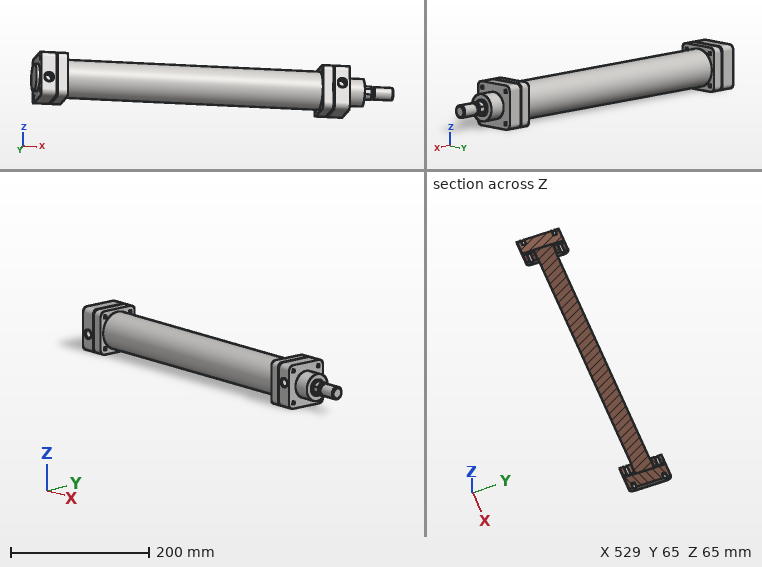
import cadquery as cq

total_length = 529.0
rear_boss_length = 5.0
cap_length = 22.0
cap_gap = 2.0
flange_length = 15.0
front_cap_end = 459.5
front_boss_length = 25.0

section_width = 65.0
corner_radius = 8.0
boss_diameter = 40.0
bolt_spacing = 47.5
bolt_hole_diameter = 5.0
bolt_hole_depth = 8.0

port_diameter = 11.5
port_chamfer = 1.0
port_depth = 12.5
port_offset = 6.0

barrel_diameter = 55.5

lip_diameter = 24.5
lip_height = 2.0
lip_chamfer = 1.5

rod_diameter = 19.5
flat_width = 18.0
flat_start = 486.5
relief_start = 496.5
relief_diameter = 12.5
thread_start = 500.0
thread_diameter = 18.5
thread_chamfer = 1.5

rear_cap_start = rear_boss_length
rear_cap_end = rear_cap_start + cap_length
rear_flange_start = rear_cap_end + cap_gap
front_cap_start = front_cap_end - cap_length
front_flange_start = front_cap_start - cap_gap - flange_length
front_boss_end = front_cap_end + front_boss_length
lip_end = front_boss_end + lip_height


def cylinder(start, end, diameter):
    """Cylinder on the X axis between two positions."""
    return cq.Workplane("YZ", origin=(start, 0, 0)).circle(diameter / 2).extrude(end - start)


def square_block(start, length):
    """Square block with rounded lengthwise edges."""
    profile = cq.Workplane("YZ", origin=(start, 0, 0)).rect(section_width, section_width)
    return profile.extrude(length).edges("|X").fillet(corner_radius)


def bolt_holes(start, length):
    """Four corner hole cutters running along X."""
    plane = cq.Workplane("YZ", origin=(start, 0, 0))
    corners = plane.rect(bolt_spacing, bolt_spacing, forConstruction=True).vertices()
    return corners.circle(bolt_hole_diameter / 2).extrude(length)


def port(cap_start, height):
    """Cutter for a blind port with a chamfered mouth, in the -Y face at the middle of a cap."""
    plane = cq.Workplane("XZ", origin=(cap_start + cap_length / 2, -section_width / 2, height))
    bore = plane.circle(port_diameter / 2).extrude(-port_depth)
    mouth = plane.circle(port_diameter / 2 + port_chamfer)
    mouth = mouth.workplane(offset=-port_chamfer).circle(port_diameter / 2).loft()
    return bore.union(mouth)


def make_rear_cap():
    cap = square_block(rear_cap_start, cap_length)
    cap = cap.union(cylinder(0, rear_cap_start, boss_diameter))
    cap = cap.cut(bolt_holes(rear_cap_start, bolt_hole_depth))
    return cap.cut(port(rear_cap_start, -port_offset))


def make_front_cap():
    cap = square_block(front_cap_start, cap_length)
    cap = cap.union(cylinder(front_cap_end, front_boss_end, boss_diameter))
    lip = cylinder(front_boss_end, lip_end, lip_diameter).faces(">X").chamfer(lip_chamfer)
    cap = cap.union(lip)
    cap = cap.cut(bolt_holes(front_cap_end - bolt_hole_depth, bolt_hole_depth))
    cap = cap.cut(port(front_cap_start, port_offset))
    return cap.cut(cylinder(front_cap_start, lip_end, rod_diameter))


def make_flange(start):
    """Square collar fitted around the barrel."""
    end = start + flange_length
    flange = square_block(start, flange_length)
    flange = flange.cut(bolt_holes(start, flange_length))
    return flange.cut(cylinder(start, end, barrel_diameter))


def make_barrel():
    return cylinder(rear_cap_end, front_cap_start, barrel_diameter)


def make_rod():
    shaft = cylinder(front_cap_start, flat_start, rod_diameter)
    flat_length = relief_start - flat_start
    flat_bar = cq.Workplane("YZ", origin=(flat_start, 0, 0)).rect(flat_width, 2 * rod_diameter)
    flat_bar = flat_bar.extrude(flat_length)
    wrench_section = cylinder(flat_start, relief_start, rod_diameter).intersect(flat_bar)
    relief = cylinder(relief_start, thread_start, relief_diameter)
    thread = cylinder(thread_start, total_length, thread_diameter).faces("<X or >X").chamfer(thread_chamfer)
    return shaft.union(wrench_section).union(relief).union(thread)


rear_cap = make_rear_cap()
front_cap = make_front_cap()
flanges = [make_flange(start) for start in (rear_flange_start, front_flange_start)]
barrel = make_barrel()
rod = make_rod()

result = cq.Compound.makeCompound([
    rear_cap.val(),
    front_cap.val(),
    *[flange.val() for flange in flanges],
    barrel.val(),
    rod.val(),
])